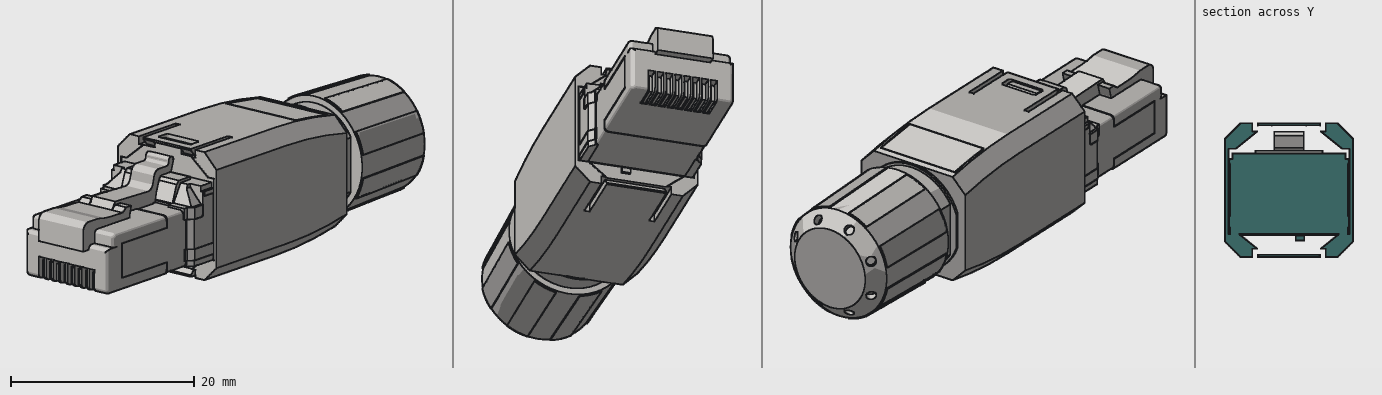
import cadquery as cq
import math


OVERLAP = 0.5

HOUSING_WIDTH = 14.0
HOUSING_HEIGHT = 14.6
HOUSING_LENGTH = 22.25
HOUSING_CHAMFER = 1.7
TAPER_START = 12.0
TAPER_DROP = 0.95
HALF_WIDTH = HOUSING_WIDTH / 2
HALF_HEIGHT = HOUSING_HEIGHT / 2

PANEL_FRONT = 16.0
PANEL_REAR = 21.4
PANEL_WIDTH = 9.95
PANEL_DEPTH = 0.06

MOUTH_DEPTH = 0.15
MOUTH_HALF_HEIGHT = 6.4
MOUTH_TOP_HALF_WIDTH = 3.45
MOUTH_SIDE_HALF_WIDTH = 6.6
MOUTH_SIDE_TOP = 4.5
MOUTH_SIDE_BOTTOM = -4.8
MOUTH_CORNER_HALF_WIDTH = 5.8
LEAD_IN_HEIGHT = 0.7
LEAD_IN_DEPTH = 0.6
CLIP_NOTCH_WIDTH = 3.8
CLIP_NOTCH_TOP = 7.05

SLOT_WIDTH = 0.6
SLOT_LENGTH = 6.3
SLOT_OFFSET = 3.7
SLOT_DEPTH = HALF_HEIGHT - MOUTH_HALF_HEIGHT
WINDOW_WIDTH = 4.6
WINDOW_FRONT = 1.15
WINDOW_REAR = 2.75
WINDOW_DEPTH = 0.8
WINDOW_RADIUS = 0.3
CATCH_WIDTH = 3.9
CATCH_HEIGHT = 0.6

REAR_RING_RADIUS = 6.35
REAR_RING_HALF_WIDTH = 6.0
REAR_RING_LENGTH = 0.3
NECK_RADIUS = 6.05
NECK_HALF_WIDTH = 5.2

NUT_FRONT = 25.1
NUT_REAR = 37.75
NUT_FRONT_RADIUS = 6.8
NUT_SHOULDER_RADIUS = 6.48
NUT_REAR_RADIUS = 4.75
NUT_BEVEL_LENGTH = 1.6
NUT_SHOULDER = NUT_REAR - NUT_BEVEL_LENGTH
GRIP_FRONT_GAP = 0.2
GRIP_REAR_GAP = 0.12
GRIP_COUNT = 8
GRIP_HEIGHT = 0.13
GRIP_PITCH = 360 / GRIP_COUNT
GRIP_ANGLE = GRIP_PITCH / 2
DIMPLE_DIAMETER = 1.1
DIMPLE_DEPTH = 0.8
DIMPLE_BEVEL_POSITION = 0.42

COLLAR_HALF_WIDTH = 6.45
COLLAR_TOP_HALF_WIDTH = 6.18
COLLAR_BOTTOM = -4.77
COLLAR_SHOULDER = 3.4
COLLAR_TOP = 4.0
COLLAR_SIDE_FRONT = -3.1
COLLAR_FRONT = -3.7
COLLAR_SLOPE_REAR = -2.1
COLLAR_SLOPE_FRONT = -3.3
HUMP_WIDTH = 7.34
HUMP_TOP = 4.31
HUMP_BOTTOM = 1.0
HUMP_REAR = -0.46
HUMP_BEND = -2.4
HUMP_FRONT = -3.8
RAIL_MARGIN = 0.07
RAIL_FRONT = -4.0
RAIL_BOTTOM = -4.1
RAIL_TOP = -2.8
EAR_FRONT = -4.2
EAR_REAR = -1.7
EAR_BOTTOM = 0.6
EAR_TOP = 1.95
EAR_RADIUS = 0.25
UPPER_STRIP_FRONT = -1.4
UPPER_STRIP_BOTTOM = 2.86
SHOULDER_CUT_X = (4.7, 6.2)
SHOULDER_CUT_Z = (3.6, 1.95)

PLUG_HALF_WIDTH = 5.86
PLUG_BOTTOM = -4.92
PLUG_TOP = 1.79
PLUG_FRONT = -17.14
PLUG_STEP = -16.15
PLUG_STEP_TOP = 0.27
PLUG_EDGE_RADIUS = 0.5
SHIELD_FRONT = -7.05
SHIELD_INSET = 0.08
SHIELD_TONGUE_FRONT = -14.65
SHIELD_TONGUE_TOP = 0.42
SHIELD_TONGUE_BOTTOM = -3.51

CONTACT_COUNT = 8
CONTACT_PITCH = 1.016
CONTACT_WIDTH = 0.36
CONTACT_TOP = -2.85
CONTACT_SETBACK = 0.4
CONTACT_LIFT = 0.1
CONTACT_SLOT_WIDTH = 0.75
CONTACT_SLOT_TOP = -2.4
CONTACT_SLOT_LENGTH = 3.0

ARM_WIDTH = 3.22
ARM_ROOT_TOP = 3.32
ARM_END_TOP = 3.47
ARM_END = -10.77
HANDLE_TOP = 5.47
HANDLE_UNDERSIDE = 4.63
HOOK_Y = -1.26
HOOK_RADIUS = 0.42
HOOK_CENTER_Z = 5.95
CLIP_WIDTH = 6.3
CLIP_REAR = -9.9
CLIP_REAR_TOP = 3.1
SADDLE_REAR = -11.36
SADDLE_TOP = 2.63
CLIP_SEAT = PLUG_TOP - OVERLAP
CLIP_FRONT = -18.1
CLIP_NOSE_TOP = 2.94
CLIP_NOSE_BOTTOM = -0.25
CLIP_NOSE_RADIUS = 0.95

TAB_X = -1.2
TAB_WIDTH = 0.95
TAB_HEIGHT = 0.55
TAB_BOTTOM = -5.5
TAB_REACH = 0.15


def box(x_range, y_range, z_range):
    """Axis-aligned block given by its limits along each axis."""
    limits = (x_range, y_range, z_range)
    sizes = [high - low for low, high in limits]
    lows = tuple(low for low, high in limits)
    return cq.Workplane("XY").box(*sizes, centered=False).translate(lows)


def extrude_across(profile, width):
    """Extrude a (y, z) profile symmetrically about the middle plane."""
    return profile.extrude(width / 2, both=True)


def side_profile(points):
    return cq.Workplane("YZ").polyline(points).close()


def flatted_disc(radius, half_width, front, rear):
    """Round disc along Y with two flats facing +X and -X."""
    disc = cq.Workplane("XZ", origin=(0, front, 0)).circle(radius).extrude(front - rear)
    return disc.intersect(box((-half_width, half_width), (front, rear), (-radius, radius)))


def taper_radius():
    run = HOUSING_LENGTH - TAPER_START
    return (run**2 + TAPER_DROP**2) / (2 * TAPER_DROP)


def roof_height(y):
    """Height of the housing roof at a place on the tapered stretch."""
    radius = taper_radius()
    return HALF_HEIGHT - radius + math.sqrt(radius**2 - (y - TAPER_START) ** 2)


def make_housing():
    middle = (TAPER_START + HOUSING_LENGTH) / 2
    rear_height = roof_height(HOUSING_LENGTH)
    profile = (
        cq.Workplane("YZ")
        .moveTo(0, -HALF_HEIGHT)
        .lineTo(0, HALF_HEIGHT)
        .lineTo(TAPER_START, HALF_HEIGHT)
        .threePointArc((middle, roof_height(middle)), (HOUSING_LENGTH, rear_height))
        .lineTo(HOUSING_LENGTH, -rear_height)
        .threePointArc((middle, -roof_height(middle)), (TAPER_START, -HALF_HEIGHT))
        .close()
    )
    body = extrude_across(profile, HOUSING_WIDTH)
    return body.faces("<X or >X").edges("not |Z").chamfer(HOUSING_CHAMFER)


def make_label_panel():
    """Flat shallow pocket in the tapered roof."""
    front = (PANEL_FRONT, roof_height(PANEL_FRONT) - PANEL_DEPTH)
    rear = (PANEL_REAR, roof_height(PANEL_REAR) - PANEL_DEPTH)
    profile = side_profile([front, rear, (PANEL_REAR, HALF_HEIGHT), (PANEL_FRONT, HALF_HEIGHT)])
    return extrude_across(profile, PANEL_WIDTH)


def make_mouth():
    """Octagonal front recess, widened at the sides, with tongue lead-ins and a clip notch."""
    outline = []
    for sign in (1, -1):
        outline += [
            (-sign * MOUTH_CORNER_HALF_WIDTH, sign * MOUTH_SIDE_TOP),
            (-sign * MOUTH_TOP_HALF_WIDTH, sign * MOUTH_HALF_HEIGHT),
            (sign * MOUTH_TOP_HALF_WIDTH, sign * MOUTH_HALF_HEIGHT),
            (sign * MOUTH_CORNER_HALF_WIDTH, sign * MOUTH_SIDE_TOP),
        ]
    mouth = cq.Workplane("XZ").polyline(outline).close().extrude(-MOUTH_DEPTH)
    mouth = mouth.union(
        box(
            (-MOUTH_SIDE_HALF_WIDTH, MOUTH_SIDE_HALF_WIDTH),
            (0, MOUTH_DEPTH),
            (MOUTH_SIDE_BOTTOM, MOUTH_SIDE_TOP),
        )
    )
    lead_ins = cq.Workplane("XY")
    for sign in (1, -1):
        inner = sign * MOUTH_HALF_HEIGHT
        outer = inner + sign * LEAD_IN_HEIGHT
        wedge = side_profile([(0, inner), (0, outer), (LEAD_IN_DEPTH, inner)])
        lead_ins = lead_ins.union(extrude_across(wedge, 2 * MOUTH_TOP_HALF_WIDTH))
    notch_x = (-CLIP_NOTCH_WIDTH / 2, CLIP_NOTCH_WIDTH / 2)
    lead_ins = lead_ins.cut(box(notch_x, (0, LEAD_IN_DEPTH), (MOUTH_HALF_HEIGHT, HALF_HEIGHT)))
    notch = box(notch_x, (0, MOUTH_DEPTH), (MOUTH_HALF_HEIGHT, CLIP_NOTCH_TOP))
    return mouth.union(lead_ins).union(notch)


def make_tongue_slots():
    slots = cq.Workplane("XY")
    for x in (-SLOT_OFFSET, SLOT_OFFSET):
        x_range = (x - SLOT_WIDTH / 2, x + SLOT_WIDTH / 2)
        floor = HALF_HEIGHT - SLOT_DEPTH
        slots = slots.union(box(x_range, (0, SLOT_LENGTH), (floor, HALF_HEIGHT)))
        slots = slots.union(box(x_range, (0, SLOT_LENGTH), (-HALF_HEIGHT, -floor)))
    return slots


def make_latch_window():
    """Roof pocket holding a catch that slopes down toward the rear."""
    floor = HALF_HEIGHT - WINDOW_DEPTH
    middle = (WINDOW_FRONT + WINDOW_REAR) / 2
    x_range = (-WINDOW_WIDTH / 2, WINDOW_WIDTH / 2)
    pocket = box(x_range, (WINDOW_FRONT, WINDOW_REAR), (floor, HALF_HEIGHT))
    pocket = pocket.edges("|Z").fillet(WINDOW_RADIUS)
    crest = floor + CATCH_HEIGHT
    catch = side_profile(
        [(WINDOW_FRONT, floor), (WINDOW_FRONT, crest), (middle, crest), (WINDOW_REAR, floor)]
    )
    return pocket.cut(extrude_across(catch, CATCH_WIDTH))


def make_neck():
    ring_rear = HOUSING_LENGTH + REAR_RING_LENGTH
    ring = flatted_disc(REAR_RING_RADIUS, REAR_RING_HALF_WIDTH, HOUSING_LENGTH - OVERLAP, ring_rear)
    neck = flatted_disc(NECK_RADIUS, NECK_HALF_WIDTH, HOUSING_LENGTH, NUT_FRONT + OVERLAP)
    return ring.union(neck)


def nut_radius(y):
    """Radius of the nut on its tapered grip stretch."""
    share = (y - NUT_FRONT) / (NUT_SHOULDER - NUT_FRONT)
    return NUT_FRONT_RADIUS + share * (NUT_SHOULDER_RADIUS - NUT_FRONT_RADIUS)


def make_grip_panel():
    """Raised panel, half the grip pitch wide, with a steep rear end just short of the bevel."""
    start = NUT_FRONT + GRIP_FRONT_GAP
    end = NUT_SHOULDER - GRIP_REAR_GAP
    panel = (
        cq.Workplane("XY")
        .polyline(
            [
                (NUT_REAR_RADIUS, start),
                (nut_radius(start) + GRIP_HEIGHT, start),
                (nut_radius(end) + GRIP_HEIGHT, end),
                (NUT_REAR_RADIUS, NUT_SHOULDER),
            ]
        )
        .close()
        .revolve(GRIP_ANGLE, (0, 0), (0, 1))
    )
    return panel.rotate((0, 0, 0), (0, 1, 0), -GRIP_ANGLE / 2)


def make_dimple():
    """Blind hole square to the rear bevel, at the +X side."""
    rise = NUT_SHOULDER_RADIUS - NUT_REAR_RADIUS
    along = DIMPLE_BEVEL_POSITION
    center = cq.Vector(NUT_REAR_RADIUS + rise * along, NUT_REAR - NUT_BEVEL_LENGTH * along, 0)
    outward = cq.Vector(NUT_BEVEL_LENGTH, rise, 0).normalized()
    start = center - outward * DIMPLE_DEPTH
    return cq.Workplane(
        cq.Solid.makeCylinder(DIMPLE_DIAMETER / 2, 2 * DIMPLE_DEPTH, start, outward)
    )


def make_nut():
    nut = (
        cq.Workplane("XY")
        .polyline(
            [
                (0, NUT_FRONT),
                (NUT_FRONT_RADIUS, NUT_FRONT),
                (NUT_SHOULDER_RADIUS, NUT_SHOULDER),
                (NUT_REAR_RADIUS, NUT_REAR),
                (0, NUT_REAR),
            ]
        )
        .close()
        .revolve(360, (0, 0), (0, 1))
    )
    panel = make_grip_panel()
    dimple = make_dimple()
    for i in range(GRIP_COUNT):
        angle = (i + 0.5) * GRIP_PITCH
        nut = nut.union(panel.rotate((0, 0, 0), (0, 1, 0), angle))
        nut = nut.cut(dimple.rotate((0, 0, 0), (0, 1, 0), angle))
    return nut


def collar_slab(margin, front, z_range):
    """Slab with the collar's chamfered plan, grown sideways by a margin."""
    rear = MOUTH_DEPTH + OVERLAP
    side = COLLAR_HALF_WIDTH + margin
    nose = PLUG_HALF_WIDTH + margin
    plan = [
        (-side, rear),
        (-side, COLLAR_SIDE_FRONT),
        (-nose, COLLAR_FRONT),
        (-nose, front),
        (nose, front),
        (nose, COLLAR_FRONT),
        (side, COLLAR_SIDE_FRONT),
        (side, rear),
    ]
    low, high = z_range
    return cq.Workplane("XY", origin=(0, 0, low)).polyline(plan).close().extrude(high - low)


def cut_shoulder(block):
    """Step the collar's top sides in, slope its front and bevel its front corners."""
    rear = MOUTH_DEPTH + OVERLAP
    inner_x, outer_x = SHOULDER_CUT_X
    inner_z, outer_z = SHOULDER_CUT_Z
    for sign in (-1, 1):
        x_range = sorted((sign * COLLAR_TOP_HALF_WIDTH, sign * HALF_WIDTH))
        block = block.cut(box(x_range, (RAIL_FRONT, rear), (COLLAR_SHOULDER, COLLAR_TOP)))
        corner = [
            (sign * inner_x, HALF_HEIGHT),
            (sign * inner_x, inner_z),
            (sign * outer_x, outer_z),
            (sign * HALF_WIDTH, outer_z),
            (sign * HALF_WIDTH, HALF_HEIGHT),
        ]
        wedge = cq.Workplane("XZ", origin=(0, EAR_REAR, 0)).polyline(corner).close()
        block = block.cut(wedge.extrude(EAR_REAR - RAIL_FRONT))
    slope = side_profile(
        [
            (COLLAR_SLOPE_REAR, COLLAR_TOP),
            (COLLAR_SLOPE_FRONT, EAR_TOP),
            (RAIL_FRONT, EAR_TOP),
            (RAIL_FRONT, COLLAR_TOP),
        ]
    )
    return block.cut(extrude_across(slope, HOUSING_WIDTH))


def make_collar():
    """Block in the housing mouth with a sloping shoulder, a middle hump, ears and side rails."""
    block = collar_slab(0, COLLAR_FRONT - RAIL_MARGIN, (COLLAR_BOTTOM, COLLAR_TOP))
    upper_strip = collar_slab(RAIL_MARGIN, RAIL_FRONT, (UPPER_STRIP_BOTTOM, COLLAR_SHOULDER))
    strip_zone = box(
        (-HALF_WIDTH, HALF_WIDTH),
        (UPPER_STRIP_FRONT, MOUTH_DEPTH + OVERLAP),
        (UPPER_STRIP_BOTTOM, COLLAR_SHOULDER),
    )
    block = cut_shoulder(block).union(upper_strip.intersect(strip_zone))

    ear_z = (EAR_BOTTOM, EAR_TOP)
    ear_zone = box((-HALF_WIDTH, HALF_WIDTH), (EAR_FRONT, EAR_REAR), ear_z)
    ear_zone = ear_zone.edges("|X and <Z").fillet(EAR_RADIUS)
    ear = collar_slab(RAIL_MARGIN, EAR_FRONT, ear_z).intersect(ear_zone)
    ear = ear.cut(box((-HUMP_WIDTH / 2, HUMP_WIDTH / 2), (EAR_FRONT, COLLAR_FRONT), ear_z))
    rail = collar_slab(RAIL_MARGIN, RAIL_FRONT, (RAIL_BOTTOM, RAIL_TOP))

    hump = side_profile(
        [
            (HUMP_REAR, HUMP_BOTTOM),
            (HUMP_REAR, HUMP_TOP),
            (HUMP_BEND, HUMP_TOP),
            (-2.8, 3.95),
            (-3.5, EAR_TOP),
            (HUMP_FRONT, 1.5),
            (HUMP_FRONT, HUMP_BOTTOM),
        ]
    )
    return block.union(extrude_across(hump, HUMP_WIDTH)).union(ear).union(rail)


def plug_body(inset):
    """Nose block with a stepped front and rounded edges, shrunk all round by an inset."""
    half_width = PLUG_HALF_WIDTH - inset
    bottom = PLUG_BOTTOM + inset
    across = (-half_width, half_width)
    lower = box(across, (PLUG_FRONT, 0), (bottom, PLUG_STEP_TOP))
    lower = lower.edges("<Y or (<Z and |Y)").fillet(PLUG_EDGE_RADIUS)
    upper = box(across, (PLUG_STEP, 0), (0, PLUG_TOP - inset))
    upper = upper.edges("(|Z and <Y) or (>Z and (not >Y))").fillet(PLUG_EDGE_RADIUS)
    return lower.union(upper)


def make_plug():
    """Plastic nose, with a slightly lower shield behind it that reaches forward as side tongues."""
    across = (-HALF_WIDTH, HALF_WIDTH)
    upright = (-HALF_HEIGHT, HALF_HEIGHT)
    shield = plug_body(SHIELD_INSET)
    plug = plug_body(0).cut(box(across, (SHIELD_FRONT, 0), upright)).union(
        shield.intersect(box(across, (SHIELD_FRONT, 0), upright))
    )
    for sign in (-1, 1):
        x_range = sorted((sign * (PLUG_HALF_WIDTH - SHIELD_INSET), sign * HALF_WIDTH))
        tongue_z = (SHIELD_TONGUE_BOTTOM, SHIELD_TONGUE_TOP)
        plug = plug.cut(box(x_range, (SHIELD_TONGUE_FRONT, SHIELD_FRONT), tongue_z))
    return plug


def add_contacts(plug):
    """Cut the contact slots through nose and underside and stand a blade in each."""
    slot_end = PLUG_FRONT + CONTACT_SLOT_LENGTH
    for i in range(CONTACT_COUNT):
        x = (i - (CONTACT_COUNT - 1) / 2) * CONTACT_PITCH
        slot_x = (x - CONTACT_SLOT_WIDTH / 2, x + CONTACT_SLOT_WIDTH / 2)
        blade_x = (x - CONTACT_WIDTH / 2, x + CONTACT_WIDTH / 2)
        plug = plug.cut(box(slot_x, (PLUG_FRONT, slot_end), (PLUG_BOTTOM, CONTACT_SLOT_TOP)))
        blade_y = (PLUG_FRONT + CONTACT_SETBACK, slot_end + OVERLAP)
        plug = plug.union(box(blade_x, blade_y, (PLUG_BOTTOM + CONTACT_LIFT, CONTACT_TOP)))
    return plug


def make_clip():
    """Bent locking arm, and the wide block that hooks over the plug nose."""
    arm = (
        cq.Workplane("YZ")
        .moveTo(HOOK_Y + HOOK_RADIUS, HOOK_CENTER_Z)
        .threePointArc(
            (HOOK_Y, HOOK_CENTER_Z + HOOK_RADIUS), (HOOK_Y - HOOK_RADIUS, HOOK_CENTER_Z)
        )
        .threePointArc((-1.78, 5.6), (-2.1, HANDLE_TOP))
        .lineTo(-3.3, HANDLE_TOP)
        .threePointArc((-3.95, 5.2), (-4.2, 4.6))
        .lineTo(-4.4, 3.9)
        .threePointArc((-4.72, 3.46), (-5.36, ARM_ROOT_TOP))
        .lineTo(ARM_END, ARM_END_TOP)
        .lineTo(SADDLE_REAR, SADDLE_TOP)
        .lineTo(SADDLE_REAR, CLIP_SEAT)
        .lineTo(-4.2, CLIP_SEAT)
        .lineTo(-4.2, PLUG_TOP)
        .lineTo(-3.95, PLUG_TOP)
        .lineTo(-3.8, 2.8)
        .lineTo(-3.35, 4.1)
        .threePointArc((-3.1, 4.5), (-2.7, HANDLE_UNDERSIDE))
        .lineTo(HOOK_Y, HANDLE_UNDERSIDE)
        .close()
    )
    block = (
        cq.Workplane("YZ")
        .moveTo(CLIP_REAR, CLIP_REAR_TOP)
        .lineTo(ARM_END, CLIP_REAR_TOP)
        .lineTo(SADDLE_REAR, SADDLE_TOP)
        .lineTo(-13.4, 2.67)
        .threePointArc((-14.3, 2.73), (-15.14, 2.86))
        .lineTo(-15.6, CLIP_NOSE_TOP)
        .lineTo(CLIP_FRONT + CLIP_NOSE_RADIUS, CLIP_NOSE_TOP)
        .radiusArc((CLIP_FRONT, CLIP_NOSE_TOP - CLIP_NOSE_RADIUS), -CLIP_NOSE_RADIUS)
        .lineTo(CLIP_FRONT, CLIP_NOSE_BOTTOM)
        .lineTo(PLUG_STEP, CLIP_NOSE_BOTTOM)
        .lineTo(PLUG_STEP + OVERLAP, CLIP_SEAT)
        .lineTo(-10.2, CLIP_SEAT)
        .lineTo(-10.2, 1.95)
        .close()
    )
    return extrude_across(arm, ARM_WIDTH).union(extrude_across(block, CLIP_WIDTH))


def make_keying_tab():
    return box(
        (TAB_X - TAB_WIDTH / 2, TAB_X + TAB_WIDTH / 2),
        (-TAB_REACH, MOUTH_DEPTH + OVERLAP),
        (TAB_BOTTOM, TAB_BOTTOM + TAB_HEIGHT),
    )


housing = make_housing()
housing = housing.cut(make_label_panel())
housing = housing.cut(make_mouth())
housing = housing.cut(make_tongue_slots())
housing = housing.cut(make_latch_window())

result = (
    housing.union(make_neck())
    .union(make_nut())
    .union(make_collar())
    .union(add_contacts(make_plug()))
    .union(make_clip())
    .union(make_keying_tab())
)